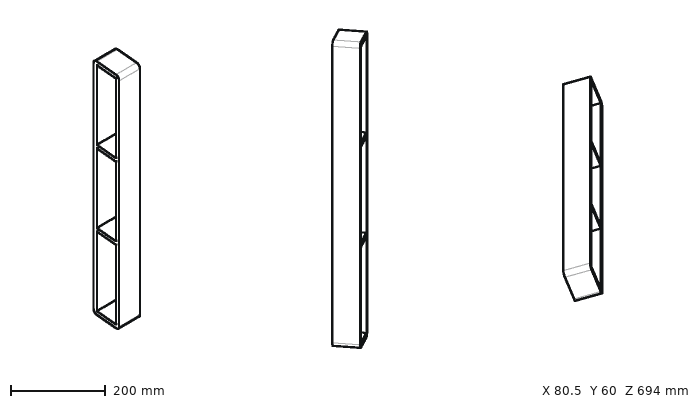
import cadquery as cq

width = 80.5
depth = 60.0
height = 694.0

wall = 10.5
shelf = 10.0
corner_radius = wall
cell_count = 3

cell_width = width - 2 * wall
cell_height = (height - 2 * wall - (cell_count - 1) * shelf) / cell_count
cell_pitch = cell_height + shelf


def make_body():
    """Solid block, centred on the origin, with its four outer corners rounded."""
    return cq.Workplane("XY").box(width, depth, height).edges("|Y").fillet(corner_radius)


def make_cells():
    """Rectangular openings that pass right through the depth."""
    return (
        cq.Workplane("XZ")
        .rarray(7, cell_pitch, 1, cell_count)
        .rect(cell_width, cell_height)
        .extrude(depth / 2, both=True)
    )


result = make_body().cut(make_cells())